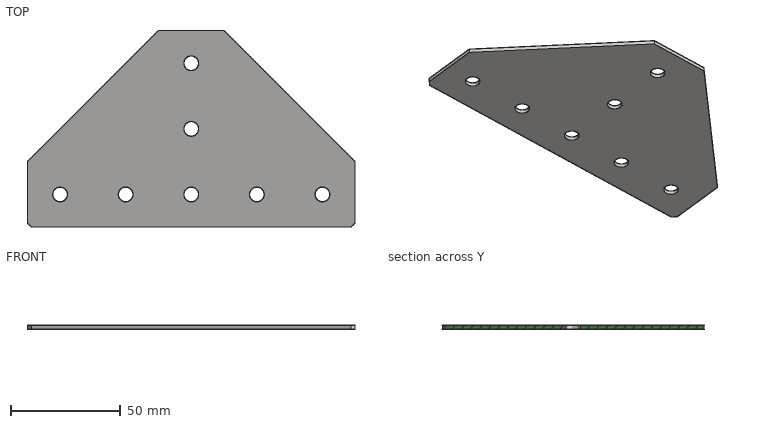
import cadquery as cq

pitch = 30.0
thickness = 2.0
hole_diameter = 6.6
corner_chamfer = 2.0

holes_each_side = 2
holes_up_stem = 2
half_length = (holes_each_side + 0.5) * pitch
half_stem = pitch / 2
bottom = -pitch / 2
arm_top = pitch / 2
stem_top = (holes_up_stem + 0.5) * pitch

outline = [
    (-half_length + corner_chamfer, bottom),
    (half_length - corner_chamfer, bottom),
    (half_length, bottom + corner_chamfer),
    (half_length, arm_top),
    (half_stem, stem_top),
    (-half_stem, stem_top),
    (-half_length, arm_top),
    (-half_length, bottom + corner_chamfer),
]
plate = cq.Workplane("XY").polyline(outline).close().extrude(thickness)

arm_holes = [(i * pitch, 0) for i in range(-holes_each_side, holes_each_side + 1)]
stem_holes = [(0, i * pitch) for i in range(1, holes_up_stem + 1)]
holes = (
    cq.Workplane("XY")
    .pushPoints(arm_holes + stem_holes)
    .circle(hole_diameter / 2)
    .extrude(thickness)
)

result = plate.cut(holes)